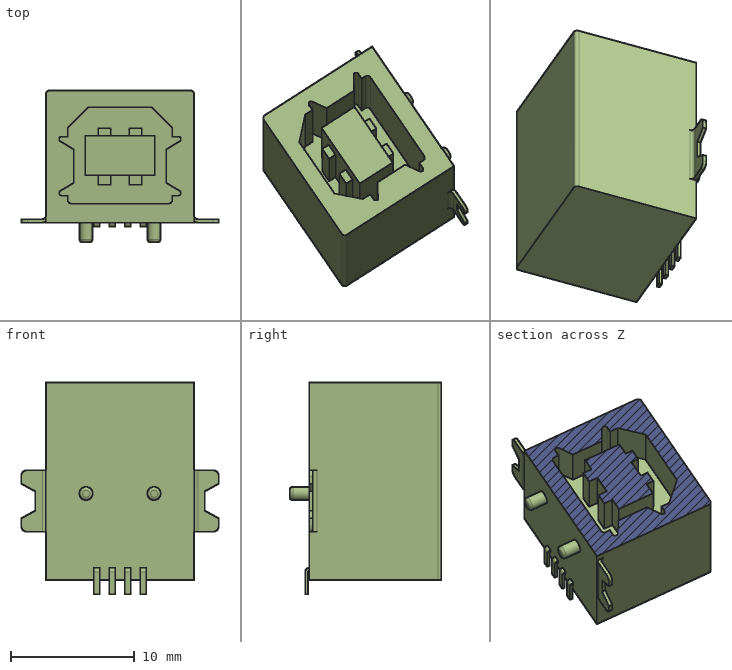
import cadquery as cq
import math


body_width = 12.0
body_height = 10.7
body_depth = 16.0
body_corner_radius = 0.3

cavity_depth = 10.0
cavity_floor_z = body_depth - cavity_depth
cavity_width = 8.45
cavity_height = 7.78
cavity_half_width = cavity_width / 2
cavity_waist_half_width = 3.72
cavity_bottom_y = 1.55
cavity_top_y = cavity_bottom_y + cavity_height
cavity_bevel = 1.65
cavity_bottom_radius = 0.3

groove_tip_half_width = 4.93
groove_tip_radius = 0.2
groove_flank_angle = math.radians(31)
groove_span = 4.76
groove_middle_y = 4.58

tongue_width = 5.6
tongue_thickness = 3.2
tongue_middle_y = 5.43
tongue_recess = 1.0
contact_width = 1.0
contact_pitch = 2.5
contact_upper_y = 7.65
contact_lower_y = 3.07
contact_setback = 2.0

peg_diameter = 1.08
peg_length = 1.58
peg_tip_radius = 0.25
peg_pitch = 5.5
peg_z = 7.01

leg_count = 4
leg_pitch = 1.25
leg_width = 0.5
leg_thickness = 0.25
leg_inner_radius = 0.08
leg_outer_radius = leg_inner_radius + leg_thickness
leg_top_z = 1.0
leg_reach = 1.15
leg_embed = 0.5

ear_half_span = 8.0
ear_thickness = 0.3
ear_bend_inner_radius = 0.3
ear_bend_outer_radius = ear_bend_inner_radius + ear_thickness
ear_length = 5.0
ear_middle_z = 6.4
ear_corner_radius = 0.5
ear_notch_mouth = 2.8
ear_notch_throat = 1.55
ear_notch_floor_x = 6.86

arc_middle = math.sqrt(0.5)


def box_between(x_range, y_range, z_range):
    """Box given by its lower and upper limit along each axis."""
    sizes = [high - low for low, high in (x_range, y_range, z_range)]
    corner = (x_range[0], y_range[0], z_range[0])
    return cq.Workplane("XY").box(*sizes, centered=False).translate(corner)


def make_housing():
    housing = box_between(
        (-body_width / 2, body_width / 2), (0, body_height), (0, body_depth)
    )
    return housing.edges("|Z and >Y").fillet(body_corner_radius)


def make_groove(side, direction):
    """Side groove: one flat flank away from the middle, one sloping flank, round tip."""
    flat_y = groove_middle_y + direction * groove_span / 2
    center_x = groove_tip_half_width - groove_tip_radius
    center_y = flat_y - direction * groove_tip_radius
    flank_x = center_x + groove_tip_radius * math.sin(groove_flank_angle)
    flank_y = center_y - direction * groove_tip_radius * math.cos(groove_flank_angle)
    waist_drop = (flank_x - cavity_waist_half_width) * math.tan(groove_flank_angle)
    waist_y = flank_y - direction * waist_drop
    return (
        cq.Workplane("XY", origin=(0, 0, cavity_floor_z))
        .moveTo(side * cavity_waist_half_width, flat_y)
        .lineTo(side * center_x, flat_y)
        .threePointArc((side * groove_tip_half_width, center_y), (side * flank_x, flank_y))
        .lineTo(side * cavity_waist_half_width, waist_y)
        .close()
        .extrude(cavity_depth)
    )


def make_cavity():
    z_range = (cavity_floor_z, body_depth)
    full_width = (-cavity_half_width, cavity_half_width)
    waist_width = (-cavity_waist_half_width, cavity_waist_half_width)
    waist_bottom_y = groove_middle_y - groove_span / 2
    waist_top_y = groove_middle_y + groove_span / 2

    upper = box_between(full_width, (waist_top_y, cavity_top_y), z_range)
    upper = upper.edges("|Z and >Y").chamfer(cavity_bevel)
    lower = box_between(full_width, (cavity_bottom_y, waist_bottom_y), z_range)
    lower = lower.edges("|Z and <Y").fillet(cavity_bottom_radius)
    waist = box_between(waist_width, (waist_bottom_y, waist_top_y), z_range)

    cavity = waist.union(upper).union(lower)
    for side in (-1, 1):
        for direction in (-1, 1):
            cavity = cavity.union(make_groove(side, direction))
    return cavity


def make_tongue():
    """Tongue standing on the cavity floor, with two contacts on each broad face."""
    tongue_top_z = body_depth - tongue_recess
    tongue = box_between(
        (-tongue_width / 2, tongue_width / 2),
        (tongue_middle_y - tongue_thickness / 2, tongue_middle_y + tongue_thickness / 2),
        (cavity_floor_z, tongue_top_z),
    )
    for side in (-1, 1):
        contact_x = side * contact_pitch / 2
        contact_pair = box_between(
            (contact_x - contact_width / 2, contact_x + contact_width / 2),
            (contact_lower_y, contact_upper_y),
            (cavity_floor_z, tongue_top_z - contact_setback),
        )
        tongue = tongue.union(contact_pair)
    return tongue


def make_peg(x):
    return (
        cq.Workplane("XZ")
        .center(x, peg_z)
        .circle(peg_diameter / 2)
        .extrude(peg_length)
        .faces("<Y")
        .edges()
        .fillet(peg_tip_radius)
    )


def make_leg(x):
    """Bent strip: out of the mounting face, then down past the rear face."""
    bend_z = leg_top_z - leg_outer_radius
    return (
        cq.Workplane("YZ", origin=(x - leg_width / 2, 0, 0))
        .moveTo(leg_embed, leg_top_z)
        .lineTo(0, leg_top_z)
        .threePointArc(
            (-leg_outer_radius * arc_middle, bend_z + leg_outer_radius * arc_middle),
            (-leg_outer_radius, bend_z),
        )
        .lineTo(-leg_outer_radius, -leg_reach)
        .lineTo(-leg_inner_radius, -leg_reach)
        .lineTo(-leg_inner_radius, bend_z)
        .threePointArc(
            (-leg_inner_radius * arc_middle, bend_z + leg_inner_radius * arc_middle),
            (0, bend_z + leg_inner_radius),
        )
        .lineTo(leg_embed, bend_z + leg_inner_radius)
        .close()
        .extrude(leg_width)
    )


def make_ear():
    """Ear on the +X side: flat notched plate that bends up into the housing wall."""
    bend_x = body_width / 2 + ear_bend_inner_radius
    bend_y = ear_bend_outer_radius
    plate = (
        cq.Workplane("XY", origin=(0, 0, ear_middle_z - ear_length / 2))
        .moveTo(ear_half_span, 0)
        .lineTo(ear_half_span, ear_thickness)
        .lineTo(bend_x, ear_thickness)
        .threePointArc(
            (bend_x - ear_bend_inner_radius * arc_middle, bend_y - ear_bend_inner_radius * arc_middle),
            (bend_x - ear_bend_inner_radius, bend_y),
        )
        .lineTo(bend_x - ear_bend_outer_radius, bend_y)
        .threePointArc(
            (bend_x - ear_bend_outer_radius * arc_middle, bend_y - ear_bend_outer_radius * arc_middle),
            (bend_x, 0),
        )
        .close()
        .extrude(ear_length)
        .edges("|Y and >X")
        .fillet(ear_corner_radius)
    )
    notch = (
        cq.Workplane("XZ")
        .moveTo(ear_half_span, ear_middle_z - ear_notch_mouth / 2)
        .lineTo(ear_notch_floor_x, ear_middle_z - ear_notch_throat / 2)
        .lineTo(ear_notch_floor_x, ear_middle_z + ear_notch_throat / 2)
        .lineTo(ear_half_span, ear_middle_z + ear_notch_mouth / 2)
        .close()
        .extrude(-ear_thickness)
    )
    return plate.cut(notch)


result = make_housing().cut(make_cavity()).union(make_tongue())

for side in (-1, 1):
    result = result.union(make_peg(side * peg_pitch / 2))

for index in range(leg_count):
    result = result.union(make_leg((index - (leg_count - 1) / 2) * leg_pitch))

ear = make_ear()
result = result.union(ear).union(ear.mirror("YZ"))